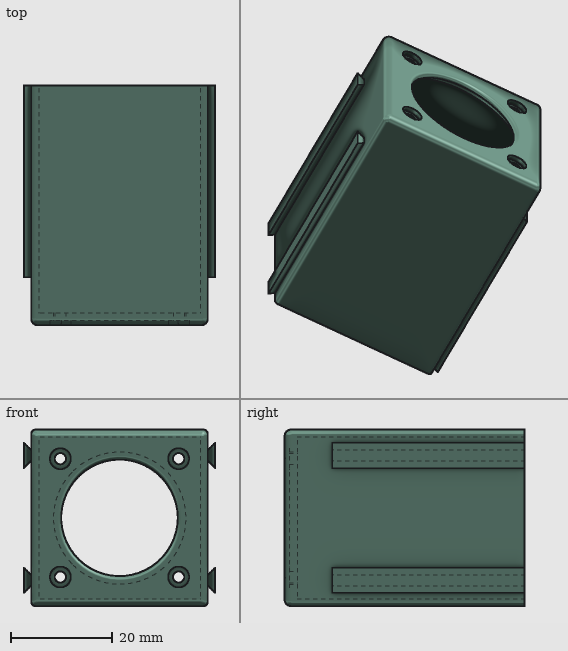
import math

import cadquery as cq

side = 35.0
length = 47.5
front_y = -length / 2
back_y = length / 2
side_wall = 1.5
front_wall = 2.5
long_edge_radius = 1.0
front_edge_radius = 1.4

window_diameter = 23.0
window_rim_radius = 0.8
window_lip = 1.0
window_recess_diameter = 26.2

screw_diameter = 2.2
screw_head_diameter = 4.15
screw_head_depth = 1.0
screw_spacing = 23.4

rail_flank = 2.0
rail_height = rail_flank * math.cos(math.radians(45))
rail_tip_width = 5.0
rail_root_width = rail_tip_width - 2 * rail_height
rail_length = 38.0
rail_spacing = 24.7


def front_plane(y):
    """XZ plane at the given Y whose normal points to +Y; local x is mirrored."""
    return cq.Workplane(cq.Plane(origin=(0, y, 0), xDir=(-1, 0, 0), normal=(0, 1, 0)))


def make_body():
    """Square block with rounded front and long edges; the back edges stay sharp."""
    body = cq.Workplane("XY").box(side, length, side)
    body = body.faces("<Y").edges().fillet(front_edge_radius)
    return body.edges("|Y").fillet(long_edge_radius)


def make_cavity():
    """Square hollow from the front wall to the open back."""
    opening = side - 2 * side_wall
    return front_plane(front_y + front_wall).rect(opening, opening).extrude(length - front_wall)


def make_window():
    """Bore with a rounded front rim and a wider recess behind its lip, revolved about Y."""
    radius = window_diameter / 2
    recess_radius = window_recess_diameter / 2
    rim_radius = radius + window_rim_radius
    arc_offset = window_rim_radius * (1 - math.cos(math.radians(45)))
    return (
        cq.Workplane("XY")
        .moveTo(0, front_y)
        .lineTo(rim_radius, front_y)
        .threePointArc(
            (radius + arc_offset, front_y + arc_offset),
            (radius, front_y + window_rim_radius),
        )
        .lineTo(radius, front_y + window_lip)
        .lineTo(recess_radius, front_y + window_lip)
        .lineTo(recess_radius, front_y + front_wall)
        .lineTo(0, front_y + front_wall)
        .close()
        .revolve(360, (0, 0), (0, 1))
    )


def make_screw_holes():
    """Four through holes on a square, each counterbored from the front."""
    layout = front_plane(front_y).rect(screw_spacing, screw_spacing, forConstruction=True).vertices()
    shanks = layout.circle(screw_diameter / 2).extrude(front_wall)
    heads = layout.circle(screw_head_diameter / 2).extrude(screw_head_depth)
    return shanks.union(heads)


def make_rail(x_sign, z):
    """Dovetail along Y from the back face, widening away from the side wall."""
    root_x = x_sign * side / 2
    tip_x = root_x + x_sign * rail_height
    profile = [
        (root_x, z - rail_root_width / 2),
        (tip_x, z - rail_tip_width / 2),
        (tip_x, z + rail_tip_width / 2),
        (root_x, z + rail_root_width / 2),
    ]
    return cq.Workplane("XZ", origin=(0, back_y, 0)).polyline(profile).close().extrude(rail_length)


result = make_body().cut(make_cavity()).cut(make_window()).cut(make_screw_holes())
for x_sign in (-1, 1):
    for z in (-rail_spacing / 2, rail_spacing / 2):
        result = result.union(make_rail(x_sign, z))